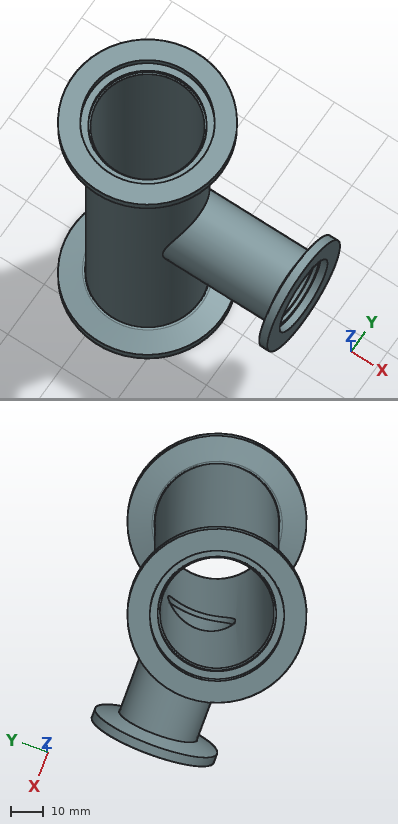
import cadquery as cq
import math

total_height = 122.0
overall_width = 85.3

main_outer_dia = 38.1
main_bore_dia = 35.0
main_flange_dia = 55.0
main_recess_dia = 41.2
main_opening_dia = 36.4
main_socket_dia = 38.4

branch_outer_dia = 25.4
branch_bore_dia = 22.0
branch_flange_dia = 40.0
branch_recess_dia = 26.2
branch_opening_dia = 23.8
branch_socket_dia = 25.6

flange_length = 5.0
rim_thickness = 3.0
cone_angle = 14.6
recess_depth = 2.6
ledge_thickness = 1.3

pipe_inset = recess_depth + ledge_thickness
main_face = total_height / 2
main_pipe_length = total_height - 2 * pipe_inset
branch_face = overall_width - main_flange_dia / 2
branch_pipe_end = branch_face - pipe_inset


def cylinder(plane, diameter, length):
    """Solid cylinder that starts on the plane and runs along its normal."""
    return cq.Workplane(plane).circle(diameter / 2).extrude(length)


def make_flange(rim_dia, recess_dia, opening_dia, socket_dia):
    """Flange with its mating face on Z = 0 and its conical back facing -Z."""
    rim_radius = rim_dia / 2
    cone_length = flange_length - rim_thickness
    cone_foot_radius = rim_radius - cone_length / math.tan(math.radians(cone_angle))
    blank = (
        cq.Workplane("XZ")
        .polyline([
            (0, 0),
            (rim_radius, 0),
            (rim_radius, -rim_thickness),
            (cone_foot_radius, -flange_length),
            (0, -flange_length),
        ])
        .close()
        .revolve(360, (0, 0), (0, 1))
    )
    recess = cylinder("XY", recess_dia, -recess_depth)
    opening = cylinder("XY", opening_dia, -flange_length)
    socket_floor = cq.Plane(origin=(0, 0, -pipe_inset))
    socket = cylinder(socket_floor, socket_dia, pipe_inset - flange_length)
    return blank.cut(recess).cut(opening).cut(socket)


def make_main_flange():
    return make_flange(main_flange_dia, main_recess_dia, main_opening_dia, main_socket_dia)


def make_branch_flange():
    flange = make_flange(
        branch_flange_dia, branch_recess_dia, branch_opening_dia, branch_socket_dia
    )
    return flange.rotate((0, 0, 0), (0, 1, 0), 90).translate((branch_face, 0, 0))


def make_main_pipe():
    """Straight tube with a side port that opens into the branch."""
    pipe_bottom = cq.Plane(origin=(0, 0, -main_pipe_length / 2))
    pipe = cylinder(pipe_bottom, main_outer_dia, main_pipe_length)
    bore = cylinder(pipe_bottom, main_bore_dia, main_pipe_length)
    side_port = cylinder("YZ", branch_bore_dia, main_outer_dia)
    return pipe.cut(bore).cut(side_port)


def make_branch_pipe():
    """Tube whose inner end is saddle-cut to sit on the main pipe."""
    pipe = cylinder("YZ", branch_outer_dia, branch_pipe_end)
    bore = cylinder("YZ", branch_bore_dia, branch_pipe_end)
    saddle = cq.Workplane("XY").circle(main_outer_dia / 2).extrude(branch_outer_dia, both=True)
    return pipe.cut(bore).cut(saddle)


main_pipe = make_main_pipe()
branch_pipe = make_branch_pipe()
branch_flange = make_branch_flange()

main_flanges = []
for turn in (0, 180):
    flange = make_main_flange().translate((0, 0, main_face))
    main_flanges.append(flange.rotate((0, 0, 0), (1, 0, 0), turn).val())

result = cq.Compound.makeCompound([
    main_pipe.val(),
    branch_pipe.val(),
    branch_flange.val(),
    *main_flanges,
])